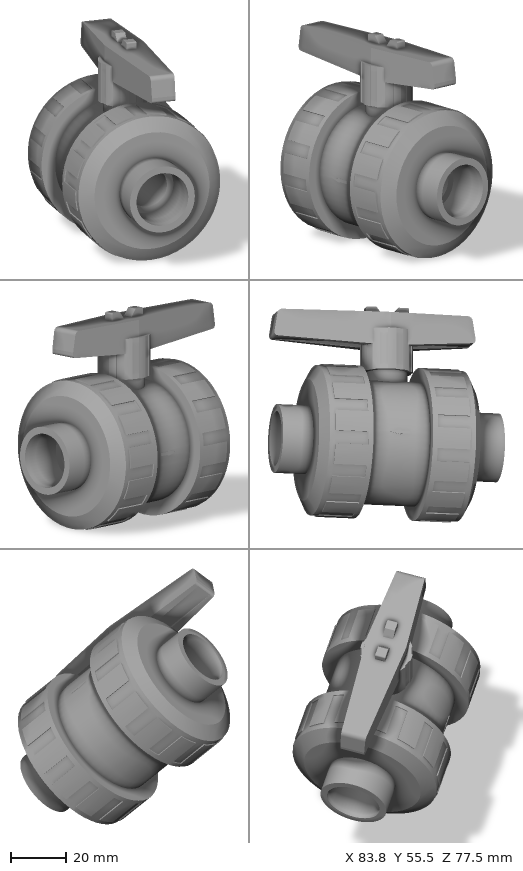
import cadquery as cq
import math


overall_height = 77.55

end_x = 41.2
pipe_radius = 12.5
socket_radius = 10.0
socket_depth = 16.0
bore_radius = 7.45
body_radius = 22.5

nut_diameter = 55.5
nut_radius = nut_diameter / 2
nut_inner_x = 11.05
nut_outer_x = 30.0
nut_chamfer_x = 27.1
nut_face_radius = 22.1
groove_count = 14
groove_depth = 0.46
groove_floor_radius = nut_radius - groove_depth
groove_start_x = 12.9
groove_end_x = 25.0
groove_width_angle = 9.9
groove_phase_angle = 18.0

neck_radius = 7.5
knob_bottom_z = 25.8
knob_top_z = 40.95
tooth_count = 10
tooth_radius = 9.55
flute_radius = 9.2

handle_top_z = 47.1
handle_tip_z = 37.3
handle_flat_z = 39.4
handle_low_z = 34.8
left_top_x = -30.6
left_tip_x = -31.8
right_top_x = 41.3
right_tip_x = 42.55
handle_half_width = 7.45
handle_taper = 0.069
top_round = 1.85
tip_round = 1.0
channel_width = 5.9

mark_outer_x = 7.95
mark_top_x = 4.1
mark_base_x = 2.0
mark_width = 3.85
mark_top_z = overall_height - nut_radius
mark_round = 0.5

arrow_half_length = 3.8
arrow_shaft_half = 0.545
arrow_head_half = 0.9
arrow_rise = 0.25


def x_cylinder(radius, start_x, stop_x):
    return cq.Workplane("YZ").workplane(offset=start_x).circle(radius).extrude(stop_x - start_x)


def make_nut():
    """Nut on the -X side, with grooves that open towards its outer end."""
    ring = x_cylinder(nut_radius, -groove_end_x, -nut_inner_x)
    half_angle = math.radians(groove_width_angle / 2)
    reach = 2 * nut_radius
    for index in range(groove_count):
        angle = math.radians(180 - groove_phase_angle) + index * math.tau / groove_count
        low = angle - half_angle
        high = angle + half_angle
        sector = (
            cq.Workplane("YZ").workplane(offset=-groove_end_x)
            .polyline([
                (0, 0),
                (reach * math.cos(low), reach * math.sin(low)),
                (reach * math.cos(high), reach * math.sin(high)),
            ])
            .close()
            .extrude(groove_end_x - groove_start_x)
        )
        ring = ring.cut(sector)
    core = (
        cq.Workplane("XY")
        .polyline([
            (-nut_outer_x, 0),
            (-nut_outer_x, nut_face_radius),
            (-nut_chamfer_x, groove_floor_radius),
            (-nut_inner_x, groove_floor_radius),
            (-nut_inner_x, 0),
        ])
        .close()
        .revolve(360, (0, 0, 0), (1, 0, 0))
    )
    return core.union(ring)


def make_knob():
    """Convex teeth on a polygon whose flats are the flute floors."""
    height = knob_top_z - knob_bottom_z
    half_tooth = math.pi / (2 * tooth_count)

    def at(radius, angle):
        return (radius * math.cos(angle), radius * math.sin(angle))

    first = math.pi / 2 - half_tooth
    outline = cq.Workplane("XY").workplane(offset=knob_bottom_z).moveTo(*at(tooth_radius, first))
    for index in range(tooth_count):
        middle = math.pi / 2 + index * math.tau / tooth_count
        next_start = middle + 3 * half_tooth
        outline = outline.threePointArc(at(tooth_radius, middle), at(tooth_radius, middle + half_tooth))
        outline = outline.lineTo(*at(flute_radius, middle + half_tooth))
        outline = outline.lineTo(*at(flute_radius, next_start))
        if index < tooth_count - 1:
            outline = outline.lineTo(*at(tooth_radius, next_start))
    return outline.close().extrude(height)


def make_handle():
    side = (
        cq.Workplane("XZ")
        .polyline([
            (left_top_x, handle_top_z),
            (right_top_x, handle_top_z),
            (right_tip_x, handle_flat_z),
            (right_tip_x, handle_tip_z),
            (0, handle_low_z),
            (left_tip_x, handle_tip_z),
            (left_tip_x, handle_flat_z),
        ])
        .close()
        .extrude(handle_half_width, both=True)
    )
    side = side.edges("|Y").edges(">Z").fillet(top_round)
    for tip_x in (left_tip_x, right_tip_x):
        tip_edge = cq.selectors.NearestToPointSelector((tip_x, 0, handle_tip_z))
        side = side.edges(tip_edge).fillet(tip_round)

    left_half_width = handle_half_width + handle_taper * left_tip_x
    right_half_width = handle_half_width - handle_taper * right_tip_x
    plan = (
        cq.Workplane("XY").workplane(offset=handle_low_z)
        .polyline([
            (left_tip_x, -left_half_width),
            (0, -handle_half_width),
            (right_tip_x, -right_half_width),
            (right_tip_x, right_half_width),
            (0, handle_half_width),
            (left_tip_x, left_half_width),
        ])
        .close()
        .extrude(handle_top_z - handle_low_z)
    )
    channel = (
        cq.Workplane("XY").workplane(offset=handle_low_z)
        .rect(2 * right_tip_x, channel_width)
        .extrude(handle_tip_z - handle_low_z)
    )
    return side.intersect(plan).cut(channel)


def make_mark():
    """Ramped mark on the +X side of the stem."""
    return (
        cq.Workplane("XZ")
        .polyline([
            (mark_base_x, handle_top_z),
            (mark_top_x, mark_top_z),
            (mark_outer_x, mark_top_z),
            (mark_outer_x, handle_top_z),
        ])
        .close()
        .extrude(mark_width / 2, both=True)
        .edges("|Y and >X and >Z")
        .fillet(mark_round)
    )


def make_arrows():
    """One bar through the body that leaves a flow arrow on each side."""
    return (
        cq.Workplane("XZ")
        .polyline([
            (-arrow_half_length, -arrow_shaft_half),
            (0, -arrow_shaft_half),
            (0, -arrow_head_half),
            (arrow_half_length, 0),
            (0, arrow_head_half),
            (0, arrow_shaft_half),
            (-arrow_half_length, arrow_shaft_half),
        ])
        .close()
        .extrude(body_radius + arrow_rise, both=True)
    )


left_nut = make_nut()
right_nut = left_nut.rotate((0, 0, 0), (0, 0, 1), 180)
right_mark = make_mark()
left_mark = right_mark.mirror("YZ")
neck = cq.Workplane("XY").circle(neck_radius).extrude(knob_bottom_z)

valve = (
    x_cylinder(pipe_radius, -end_x, end_x)
    .union(x_cylinder(body_radius, -nut_inner_x, nut_inner_x))
    .union(left_nut)
    .union(right_nut)
    .union(make_arrows())
    .union(neck)
    .union(make_knob())
    .union(make_handle())
    .union(right_mark)
    .union(left_mark)
)
bore = (
    x_cylinder(bore_radius, -end_x, end_x)
    .union(x_cylinder(socket_radius, -end_x, socket_depth - end_x))
    .union(x_cylinder(socket_radius, end_x - socket_depth, end_x))
)
result = valve.cut(bore)